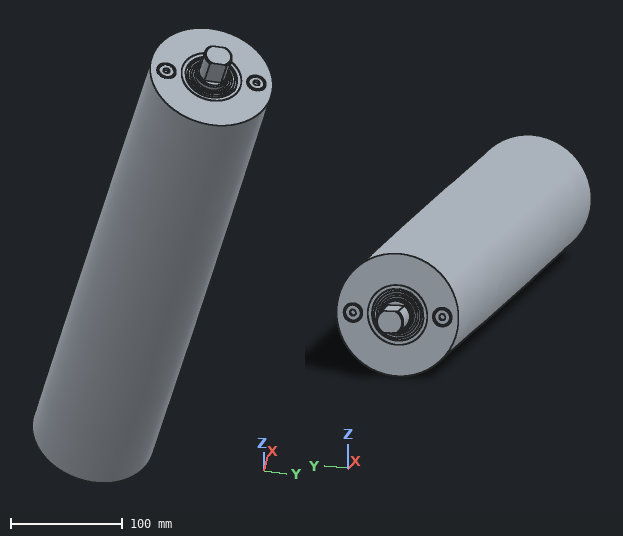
import cadquery as cq

overall_length = 570.0
shell_length = 509.5
middle_length = 171.0
cap_rim_width = 5.0

crown_diameter = 113.5
end_diameter = 112.5

shaft_diameter = 25.0
shaft_across_flats = 20.0
shaft_end_chamfer = 1.0
collar_diameter = 30.0
collar_length = 5.0
collar_chamfer = 1.0

seat_diameter = 55.0
seat_depth = 0.5
outer_groove_diameters = (47.5, 43.0)
inner_groove_diameters = (38.0, 34.0)
outer_groove_depth = 3.0
inner_groove_depth = 1.0

screw_spacing = 82.0
screw_recess_diameter = 17.0
screw_head_diameter = 14.0
screw_recess_depth = 1.0
screw_socket_diameter = 5.5
screw_socket_depth = 3.0

face_x = shell_length / 2
rim_x = face_x - cap_rim_width
crown_x = middle_length / 2


def make_shell():
    """Solid of revolution: end rims, tapered ends and cylindrical middle."""
    profile = [
        (-face_x, 0),
        (-face_x, end_diameter / 2),
        (-rim_x, end_diameter / 2),
        (-crown_x, crown_diameter / 2),
        (crown_x, crown_diameter / 2),
        (rim_x, end_diameter / 2),
        (face_x, end_diameter / 2),
        (face_x, 0),
    ]
    return cq.Workplane("XY").polyline(profile).close().revolve(360, (0, 0, 0), (1, 0, 0))


def make_shaft():
    """Through shaft with chamfered ends and flats facing +Z and -Z."""
    rod = cq.Workplane("YZ").circle(shaft_diameter / 2).extrude(overall_length / 2, both=True)
    rod = rod.faces("<X or >X").chamfer(shaft_end_chamfer)
    flats = cq.Workplane("XY").box(overall_length, shaft_diameter, shaft_across_flats)
    return rod.intersect(flats)


def make_collars():
    """Bar that stands out of both end faces as chamfered collars."""
    half_length = face_x + collar_length
    bar = cq.Workplane("YZ").circle(collar_diameter / 2).extrude(half_length, both=True)
    return bar.faces("<X or >X").chamfer(collar_chamfer)


def left_face_cut(start_depth, depth, outer_diameter, inner_diameter=0, y=0):
    """Round or ring-shaped cut into the -X end face, down from start_depth."""
    sketch = cq.Workplane("YZ", origin=(-face_x + start_depth, y, 0)).circle(outer_diameter / 2)
    if inner_diameter:
        sketch = sketch.circle(inner_diameter / 2)
    return sketch.extrude(depth)


def make_left_face_cuts():
    """All the recesses of the -X end face."""
    cuts = left_face_cut(0, seat_depth, seat_diameter, collar_diameter)
    cuts = cuts.union(left_face_cut(seat_depth, outer_groove_depth, *outer_groove_diameters))
    cuts = cuts.union(left_face_cut(seat_depth, inner_groove_depth, *inner_groove_diameters))
    for y in (-screw_spacing / 2, screw_spacing / 2):
        recess = left_face_cut(0, screw_recess_depth, screw_recess_diameter, screw_head_diameter, y)
        socket = left_face_cut(0, screw_socket_depth, screw_socket_diameter, y=y)
        cuts = cuts.union(recess).union(socket)
    return cuts


left_cuts = make_left_face_cuts()
right_cuts = left_cuts.mirror("YZ")

result = make_shell().cut(left_cuts).cut(right_cuts).union(make_collars()).union(make_shaft())